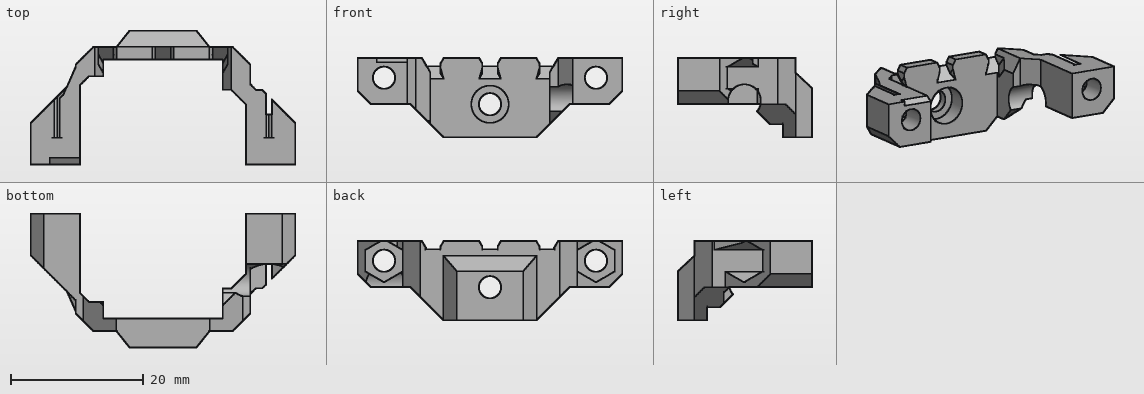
import cadquery as cq
import math

half_width = 20.0
height = 12.0
depth = 20.25

plate_front = 15.85
plate_back = 17.75
underside_half_width = 7.05
end_wall_x = 9.0
back_half_width = 10.5

arm_inner_x = 12.5
arm_outer_y = 6.3
arm_bottom = 5.0
arm_edge_chamfer = 2.0
left_web_front = 13.3
left_web_step_x = 11.2
right_web_front = 11.3
right_web_step_x = 10.3
right_web_back_x = 14.05

brace_front_x = 15.05
brace_front_y = 10.55
brace_back_y = 14.8

relief_start_x = -17.1
relief_length = 1.05
relief_depth = 0.65

screw_diameter = 3.3
screw_x = 16.0
screw_z = 9.0
nut_flats = 5.65
nut_start_y = 4.05

corner_x = screw_x - nut_flats / 2
corner_y = plate_back - (corner_x - back_half_width)

cross_radius = 2.5
cross_y = 10.05
cross_z = 5.5

boss_back_half_width = 5.05
boss_edge_z = 9.75
boss_back_z = 7.45
bore_z = 5.0
counterbore_diameter = 5.65
counterbore_depth = 3.0

slot_pitch = 8.65
slot_half_width = 1.15
slot_top_half_width = 1.65
slot_top_slope = math.tan(math.radians(60))
neck_y = 16.7
neck_z = 9.7
flare_run = 1.95
flare_spread = 0.8

clearance = 24.0


def outer_slope_y(x):
    """Y of the 45 degree back face of an arm at distance x from mid-width."""
    return arm_outer_y + half_width - x


def prism_along_y(points, start, end):
    """Extrude an XZ outline from Y = start to Y = end."""
    return cq.Workplane("XZ", origin=(0, start, 0)).polyline(points).close().extrude(start - end)


def rod_along_y(x, z, diameter, start, end):
    """Cylinder parallel to Y from Y = start to Y = end."""
    return cq.Workplane("XZ", origin=(x, start, z)).circle(diameter / 2).extrude(start - end)


def prism_along_x(points, start, end):
    """Extrude a YZ outline from X = start to X = end."""
    return cq.Workplane("YZ", origin=(start, 0, 0)).polyline(points).close().extrude(end - start)


def bracket_blank():
    """Plan outline trimmed by the front and side outlines."""
    plan = [
        (-half_width, 0),
        (-arm_inner_x, 0),
        (-arm_inner_x, left_web_front - (arm_inner_x - left_web_step_x)),
        (-left_web_step_x, left_web_front),
        (-end_wall_x, left_web_front),
        (-end_wall_x, plate_front),
        (end_wall_x, plate_front),
        (end_wall_x, right_web_front),
        (right_web_step_x, right_web_front),
        (arm_inner_x, right_web_front - (arm_inner_x - right_web_step_x)),
        (arm_inner_x, 0),
        (half_width, 0),
        (half_width, arm_outer_y),
        (half_width + arm_outer_y - right_web_front, right_web_front),
        (right_web_back_x, right_web_front),
        (corner_x, right_web_front + right_web_back_x - corner_x),
        (corner_x, corner_y),
        (back_half_width, plate_back),
        (-back_half_width, plate_back),
        (-corner_x, corner_y),
        (-corner_x, outer_slope_y(corner_x)),
        (-half_width, arm_outer_y),
    ]
    right_front_outline = [
        (underside_half_width, 0),
        (underside_half_width + arm_bottom, arm_bottom),
        (half_width - arm_edge_chamfer, arm_bottom),
        (half_width, arm_bottom + arm_edge_chamfer),
        (half_width, height),
    ]
    left_front_outline = [(-x, z) for x, z in reversed(right_front_outline)]
    side_outline = [
        (0, arm_bottom),
        (plate_front - arm_bottom, arm_bottom),
        (plate_front, 0),
        (plate_back, 0),
        (plate_back, height),
        (0, height),
    ]
    blank = cq.Workplane("XY").polyline(plan).close().extrude(height)
    blank = blank.intersect(prism_along_y(right_front_outline + left_front_outline, 0, depth))
    return blank.intersect(prism_along_x(side_outline, -half_width, half_width))


def left_brace():
    """Wedge between the back face of the left arm and its web, level with the top."""
    bottom = screw_z + nut_flats / math.sqrt(3) / 2
    points = [
        (-corner_x, brace_back_y),
        (-brace_front_x, brace_front_y),
        (-corner_x, outer_slope_y(corner_x)),
    ]
    return cq.Workplane("XY", origin=(0, 0, bottom)).polyline(points).close().extrude(height - bottom)


def brace_clearance():
    """Space above the left nut pocket, outside the brace and its 45 degree end."""
    points = [
        (-corner_x, brace_back_y),
        (-brace_front_x, brace_front_y),
        (-screw_x, brace_front_y - (screw_x - brace_front_x)),
        (-screw_x, brace_back_y),
    ]
    cutter = cq.Workplane("XY", origin=(0, 0, screw_z)).polyline(points).close()
    return cutter.extrude(height - screw_z)


def rear_boss():
    """Boss that narrows toward the back, with a sloped top."""
    plan = [
        (-underside_half_width, plate_back),
        (underside_half_width, plate_back),
        (boss_back_half_width, depth),
        (-boss_back_half_width, depth),
    ]
    side_outline = [
        (plate_back, 0),
        (depth, 0),
        (depth, boss_back_z),
        (plate_back, boss_edge_z),
    ]
    boss = cq.Workplane("XY").polyline(plan).close().extrude(height)
    return boss.intersect(prism_along_x(side_outline, -half_width, half_width))


def center_bore():
    """Through hole with a counterbore from the front of the plate."""
    floor_y = plate_front + counterbore_depth
    counterbore = rod_along_y(0, bore_z, counterbore_diameter, plate_front, floor_y)
    return counterbore.union(rod_along_y(0, bore_z, screw_diameter, plate_front, depth))


def arm_hole(x):
    """Screw hole that opens into a hexagonal nut pocket with its corners up and down."""
    corner_radius = nut_flats / math.sqrt(3)
    corner_angles = [math.radians(30 + 60 * i) for i in range(6)]
    hexagon = [
        (x + corner_radius * math.cos(angle), screw_z + corner_radius * math.sin(angle))
        for angle in corner_angles
    ]
    pocket = prism_along_y(hexagon, nut_start_y, corner_y)
    return pocket.union(rod_along_y(x, screw_z, screw_diameter, 0, nut_start_y))


def sloped_slot(left_x, right_x, left_shift, right_shift):
    """Slot with a 45 degree floor; below the neck each wall shifts sideways toward the front."""
    floor = cq.Plane(origin=(0, neck_y, neck_z), xDir=(1, 0, 0), normal=(0, -1, 1))
    points = [
        (left_x + left_shift, -flare_run),
        (right_x + right_shift, -flare_run),
        (right_x, 0),
        (right_x, clearance),
        (left_x, clearance),
        (left_x, 0),
    ]
    return cq.Workplane(floor).polyline(points).close().extrude(clearance)


def slot_chamfers(center_x):
    """Chamfers along both top edges of a slot."""
    chamfer_z = height - (slot_top_half_width - slot_half_width) * slot_top_slope
    points = [
        (center_x - slot_top_half_width, height),
        (center_x - slot_half_width, chamfer_z),
        (center_x + slot_half_width, chamfer_z),
        (center_x + slot_top_half_width, height),
    ]
    return prism_along_y(points, plate_front, plate_back)


def middle_slot():
    """Slot between the two teeth, wider below the neck."""
    slot = sloped_slot(-slot_half_width, slot_half_width, -flare_spread, flare_spread)
    return slot.union(slot_chamfers(0))


def right_end_slot():
    """Slot between the right tooth and the arm, whose top edge slopes down to the end wall."""
    slope_top_x = slot_pitch + slot_top_half_width
    slope_foot_z = height - (slope_top_x - end_wall_x) * slot_top_slope
    arm_slope = prism_along_y(
        [
            (end_wall_x, height),
            (end_wall_x, slope_foot_z),
            (slope_top_x, height),
        ],
        0,
        neck_y,
    )
    slot = sloped_slot(
        slot_pitch - slot_half_width,
        slot_pitch + slot_half_width,
        -flare_spread,
        -flare_spread,
    )
    return slot.union(slot_chamfers(slot_pitch)).union(arm_slope)


def front_relief():
    """Sloped cut on the top front edge of the left arm."""
    points = [(0, height), (relief_length, height), (0, height - relief_depth)]
    return prism_along_x(points, relief_start_x, -arm_inner_x)


def cross_cut():
    """Round cut that runs sideways through the right arm."""
    cutter = cq.Workplane("YZ", origin=(end_wall_x, cross_y, cross_z))
    return cutter.circle(cross_radius).extrude(half_width - end_wall_x)


end_slot = right_end_slot()
cutters = [
    arm_hole(-screw_x),
    arm_hole(screw_x),
    brace_clearance(),
    middle_slot(),
    end_slot,
    end_slot.mirror("YZ"),
    front_relief(),
    cross_cut(),
]

result = bracket_blank().union(left_brace())
for cutter in cutters:
    result = result.cut(cutter)
result = result.union(rear_boss()).cut(center_bore())